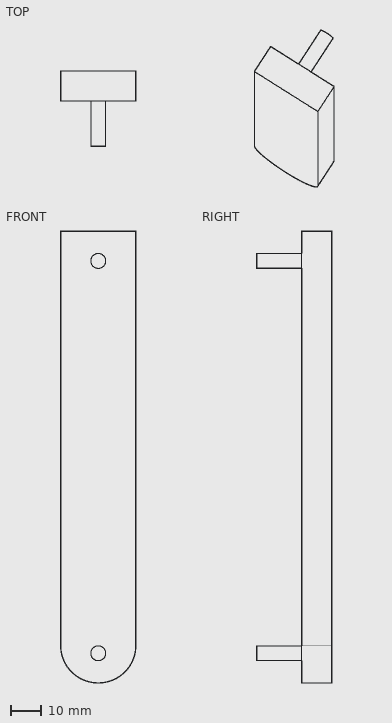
import cadquery as cq

length = 150.0
width = 25.0
thickness = 10.0
pin_diameter = 5.0
pin_length = 15.0
pin_end_distance = 9.9

end_radius = width / 2
half_length = length / 2
round_start_z = -half_length + end_radius


def make_bar():
    """Flat bar with a square top end and a full-round bottom end; front face at Y = 0."""
    return (
        cq.Workplane("XZ")
        .moveTo(-end_radius, half_length)
        .lineTo(end_radius, half_length)
        .lineTo(end_radius, round_start_z)
        .threePointArc((0, -half_length), (-end_radius, round_start_z))
        .close()
        .extrude(-thickness)
    )


def make_pins():
    """Two pins standing out of the front face toward -Y, rooted at the back face for a solid joint."""
    pin_z = half_length - pin_end_distance
    return (
        cq.Workplane("XZ", origin=(0, thickness, 0))
        .pushPoints([(0, pin_z), (0, -pin_z)])
        .circle(pin_diameter / 2)
        .extrude(thickness + pin_length)
    )


result = make_bar().union(make_pins(), clean=True)